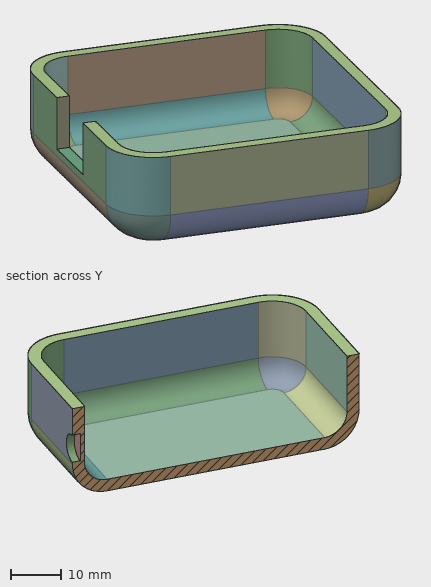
import cadquery as cq

side_length = 62.0
height = 20.0
corner_radius = 10.0
bottom_fillet = 7.5

wall = 2.7
floor = wall
cavity_length = side_length - 2 * wall
cavity_corner_radius = corner_radius - wall
cavity_fillet = bottom_fillet - wall

notch_width = 15.0
notch_bottom = 9.0

recess_diameter = 6.0
recess_height = 11.0
recess_depth = 1.7


def rounded_block(length, bottom, top, upright_radius, base_radius):
    """Square block with rounded upright edges and a rounded bottom edge."""
    return (
        cq.Workplane("XY")
        .workplane(offset=bottom)
        .rect(length, length)
        .extrude(top - bottom)
        .edges("|Z")
        .fillet(upright_radius)
        .faces("<Z")
        .edges()
        .fillet(base_radius)
    )


def notch():
    """Cutter for the notch, reaching from the outer face into the cavity."""
    return (
        cq.Workplane("XY")
        .box(notch_width, 2 * wall, height - notch_bottom, centered=(True, True, False))
        .translate((0, -side_length / 2, notch_bottom))
    )


def side_recess():
    """Cutter for the blind round recess, stopping short of the cavity."""
    return (
        cq.Workplane("YZ")
        .workplane(offset=-side_length / 2)
        .center(0, recess_height)
        .circle(recess_diameter / 2)
        .extrude(recess_depth)
    )


outside = rounded_block(side_length, 0, height, corner_radius, bottom_fillet)
cavity = rounded_block(cavity_length, floor, height, cavity_corner_radius, cavity_fillet)

result = outside.cut(cavity).cut(notch()).cut(side_recess())